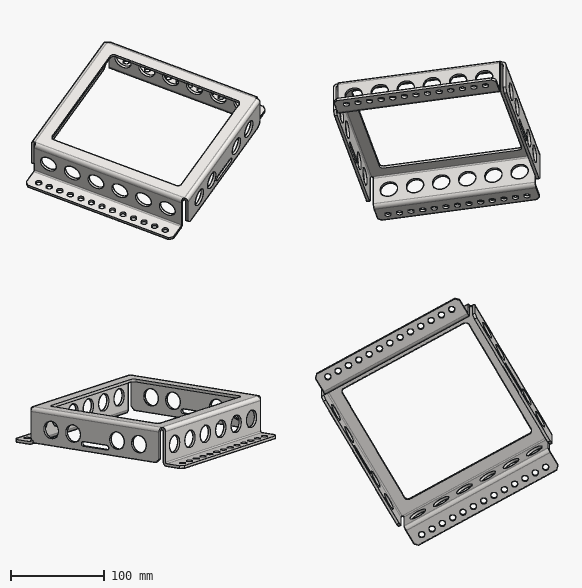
import cadquery as cq

WIDTH = 189.0
LENGTH = 220.4
HEIGHT = 42.5

SHEET = 3.0
INNER_RADIUS = 1.3
OUTER_RADIUS = INNER_RADIUS + SHEET

OPENING_WIDTH = 155.5
OPENING_LENGTH = 142.4
OPENING_CORNER_RADIUS = 4.2

END_WALL_SPAN = 176.0
END_WALL_WIDTH = 177.5

SIDE_WALL_HEIGHT = 38.5
SIDE_WALL_LENGTH = END_WALL_SPAN - 2 * OUTER_RADIUS

FOOT_CHAMFER = 3.7
SIDE_WALL_CHAMFER = 4.5

WALL_HOLE_DIAMETER = 19.0
WALL_HOLE_PITCH = 28.6
END_WALL_HOLE_COUNT = 6
SIDE_WALL_HOLE_PLACES = 5
WALL_HOLE_HEIGHT = HEIGHT / 2
SLOT_LENGTH = 35.7
SLOT_HEIGHT = 5.0
SLOT_CENTRE_HEIGHT = 11.7
FOOT_HOLE_DIAMETER = 6.6
FOOT_HOLE_COUNT = 13
FOOT_HOLE_ROW_LENGTH = 152.5
FOOT_HOLE_EDGE_DISTANCE = 8.5


def row(count, pitch):
    """Positions of evenly spaced features centred on zero."""
    return [(i - (count - 1) / 2) * pitch for i in range(count)]


def end_profile(start_x):
    """Hat profile in YZ: top, both end walls and both feet, on the plane X = start_x."""
    foot_tip = LENGTH / 2
    wall_outer = END_WALL_SPAN / 2
    wall_inner = wall_outer - SHEET
    top_edge = wall_outer - OUTER_RADIUS
    foot_start = wall_outer + INNER_RADIUS
    half = (
        cq.Workplane("YZ", origin=(start_x, 0, 0))
        .moveTo(0, HEIGHT)
        .lineTo(top_edge, HEIGHT)
        .radiusArc((wall_outer, HEIGHT - OUTER_RADIUS), OUTER_RADIUS)
        .lineTo(wall_outer, SHEET + INNER_RADIUS)
        .radiusArc((foot_start, SHEET), -INNER_RADIUS)
        .lineTo(foot_tip, SHEET)
        .lineTo(foot_tip, 0)
        .lineTo(foot_start, 0)
        .radiusArc((wall_inner, OUTER_RADIUS), OUTER_RADIUS)
        .lineTo(wall_inner, HEIGHT - OUTER_RADIUS)
        .radiusArc((top_edge, HEIGHT - SHEET), -INNER_RADIUS)
        .lineTo(0, HEIGHT - SHEET)
    )
    return half.mirrorY()


def end_walls():
    """Top strip with the end walls and feet; the foot corners are chamfered."""
    body = end_profile(-END_WALL_WIDTH / 2).extrude(END_WALL_WIDTH)
    foot_corners = cq.selectors.BoxSelector(
        (-WIDTH, LENGTH / 2 - SHEET, -SHEET), (WIDTH, LENGTH, HEIGHT)
    ) + cq.selectors.BoxSelector(
        (-WIDTH, -LENGTH, -SHEET), (WIDTH, SHEET - LENGTH / 2, HEIGHT)
    )
    return body.edges("|Z").edges(foot_corners).chamfer(FOOT_CHAMFER)


def side_walls():
    """Channel forming the top and both side walls; the lower wall corners are chamfered."""
    bottom = HEIGHT - SIDE_WALL_HEIGHT
    body = (
        cq.Workplane("XY")
        .workplane(offset=bottom)
        .rect(WIDTH, SIDE_WALL_LENGTH)
        .extrude(SIDE_WALL_HEIGHT)
        .edges("|Y and >Z")
        .fillet(OUTER_RADIUS)
        .edges("|X and <Z")
        .chamfer(SIDE_WALL_CHAMFER)
    )
    inside = (
        cq.Workplane("XY")
        .workplane(offset=bottom)
        .rect(WIDTH - 2 * SHEET, SIDE_WALL_LENGTH)
        .extrude(SIDE_WALL_HEIGHT - SHEET)
        .edges("|Y and >Z")
        .fillet(INNER_RADIUS)
    )
    return body.cut(inside)


def corner_webs():
    """Small slanted webs where the end bends meet the ends of the side bends."""
    frame_edge = WIDTH / 2 - OUTER_RADIUS
    wall_edge = END_WALL_WIDTH / 2
    web = frame_edge - wall_edge
    end_of_side = SIDE_WALL_LENGTH / 2
    outline = [
        (frame_edge, end_of_side),
        (wall_edge, end_of_side + web),
        (-wall_edge, end_of_side + web),
        (-frame_edge, end_of_side),
    ]
    outline += [(-x, -y) for x, y in outline]
    plan = (
        cq.Workplane("XY")
        .workplane(offset=HEIGHT - OUTER_RADIUS)
        .polyline(outline)
        .close()
        .extrude(OUTER_RADIUS)
    )
    return end_profile(-frame_edge).extrude(2 * frame_edge).intersect(plan)


def frame_opening():
    """Rounded rectangular window in the top."""
    return (
        cq.Workplane("XY")
        .workplane(offset=HEIGHT - SHEET)
        .rect(OPENING_WIDTH, OPENING_LENGTH)
        .extrude(SHEET)
        .edges("|Z")
        .fillet(OPENING_CORNER_RADIUS)
    )


def end_wall_holes():
    """Row of holes running through both end walls."""
    return (
        cq.Workplane("XZ")
        .pushPoints([(x, WALL_HOLE_HEIGHT) for x in row(END_WALL_HOLE_COUNT, WALL_HOLE_PITCH)])
        .circle(WALL_HOLE_DIAMETER / 2)
        .extrude(LENGTH / 2, both=True)
    )


def side_wall_holes():
    """Row of holes without its middle one, through both side walls."""
    places = [y for y in row(SIDE_WALL_HOLE_PLACES, WALL_HOLE_PITCH) if y != 0]
    return (
        cq.Workplane("YZ")
        .pushPoints([(y, WALL_HOLE_HEIGHT) for y in places])
        .circle(WALL_HOLE_DIAMETER / 2)
        .extrude(WIDTH / 2, both=True)
    )


def side_wall_slots():
    """Horizontal slot low in the middle of both side walls."""
    return (
        cq.Workplane("YZ")
        .center(0, SLOT_CENTRE_HEIGHT)
        .slot2D(SLOT_LENGTH, SLOT_HEIGHT)
        .extrude(WIDTH / 2, both=True)
    )


def foot_holes():
    """Row of small holes along each foot."""
    row_y = LENGTH / 2 - FOOT_HOLE_EDGE_DISTANCE
    columns = row(FOOT_HOLE_COUNT, FOOT_HOLE_ROW_LENGTH / (FOOT_HOLE_COUNT - 1))
    return (
        cq.Workplane("XY")
        .pushPoints([(x, y) for x in columns for y in (-row_y, row_y)])
        .circle(FOOT_HOLE_DIAMETER / 2)
        .extrude(SHEET)
    )


result = end_walls().union(side_walls()).union(corner_webs())
result = (
    result.cut(frame_opening())
    .cut(end_wall_holes())
    .cut(side_wall_holes())
    .cut(side_wall_slots())
    .cut(foot_holes())
)